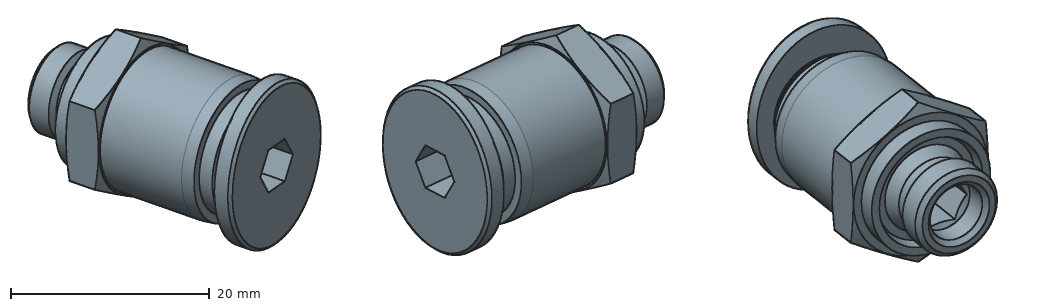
import cadquery as cq
import math

total_length = 27.6

thread_radius = 4.85
thread_chamfer = 0.52
thread_length = 2.9
neck_radius = 4.1
neck_start = 3.3
flare_start = 4.83
flare_slope = 0.5

collar_radius = 7.05
collar_start = 5.3
recess_depth = 1.0
recess_mouth_radius = 6.13
recess_floor_radius = 5.77

nut_across_flats = 16.0
nut_start = 7.25
nut_end = 11.32
nut_chamfer_radius = 7.95
nut_chamfer_depth = 0.47
nut_corner_angle = 30

body_radius = 7.73
taper_start = 21.33
body_end = 22.77
body_end_radius = 7.55
sleeve_radius = 6.65
sleeve_end = 24.37
stem_radius = 5.85
stem_flare = 0.1

flange_start = 25.6
flange_half_width = nut_across_flats / 2
flange_half_height = 9.25
flange_chamfer = 0.33

bore_radius = 3.1
bore_chamfer = 0.52
bore_depth = 2.9
key_across_flats = 4.9
key_corner_angle = 0
drill_tip_angle = 120.0


def turned(profile):
    """Revolve a closed list of (x, radius) points about the X axis."""
    return cq.Workplane("XY").polyline(profile).close().revolve(360, (0, 0, 0), (1, 0, 0))


def hexagon_corner_radius(across_flats):
    return across_flats / 2 / math.cos(math.radians(30))


def hexagon_bar(across_flats, start, end, first_corner_angle):
    """Hexagonal bar along X; first_corner_angle is in degrees from +Y towards +Z."""
    corner_radius = hexagon_corner_radius(across_flats)
    corners = []
    for side in range(6):
        angle = math.radians(first_corner_angle + 60 * side)
        corners.append((corner_radius * math.cos(angle), corner_radius * math.sin(angle)))
    return cq.Workplane("YZ").workplane(offset=start).polyline(corners).close().extrude(end - start)


def make_turned_body():
    """Thread, neck, recessed collar, body and stepped sleeve, up to the flange."""
    recess_floor = collar_start + recess_depth
    flare_end_radius = neck_radius + flare_slope * (recess_floor - flare_start)
    return turned([
        (0, 0),
        (0, thread_radius - thread_chamfer),
        (thread_chamfer, thread_radius),
        (thread_length, thread_radius),
        (neck_start, neck_radius),
        (flare_start, neck_radius),
        (recess_floor, flare_end_radius),
        (recess_floor, recess_floor_radius),
        (collar_start, recess_mouth_radius),
        (collar_start, collar_radius),
        (nut_start, collar_radius),
        (nut_start, body_radius),
        (taper_start, body_radius),
        (body_end, body_end_radius),
        (body_end, sleeve_radius),
        (sleeve_end, sleeve_radius),
        (sleeve_end, stem_radius),
        (flange_start - stem_flare, stem_radius),
        (flange_start, stem_radius + stem_flare),
        (flange_start, 0),
    ])


def make_nut():
    """Hexagon with corners up and down, its corners chamfered conically at both ends."""
    corner_radius = hexagon_corner_radius(nut_across_flats)
    envelope = turned([
        (nut_start, 0),
        (nut_start, nut_chamfer_radius),
        (nut_start + nut_chamfer_depth, corner_radius),
        (nut_end - nut_chamfer_depth, corner_radius),
        (nut_end, nut_chamfer_radius),
        (nut_end, 0),
    ])
    return hexagon_bar(nut_across_flats, nut_start, nut_end, nut_corner_angle).intersect(envelope)


def make_flange():
    """Elliptical plate, taller than wide, chamfered around its outer end."""
    flange = (
        cq.Workplane("YZ")
        .workplane(offset=flange_start)
        .ellipse(flange_half_width, flange_half_height)
        .extrude(total_length - flange_start)
    )
    return flange.faces(">X").chamfer(flange_chamfer)


def make_bore():
    """Round bore with a chamfered mouth and a conical bottom leading into the key hole."""
    tip_depth = bore_radius / math.tan(math.radians(drill_tip_angle / 2))
    return turned([
        (0, 0),
        (0, bore_radius + bore_chamfer),
        (bore_chamfer, bore_radius),
        (bore_depth, bore_radius),
        (bore_depth + tip_depth, 0),
    ])


def make_key_hole():
    """Hexagonal hole through the whole fitting, with corners on the +Y and -Y sides."""
    return hexagon_bar(key_across_flats, 0, total_length, key_corner_angle)


result = make_turned_body().union(make_nut()).union(make_flange()).cut(make_bore()).cut(make_key_hole())